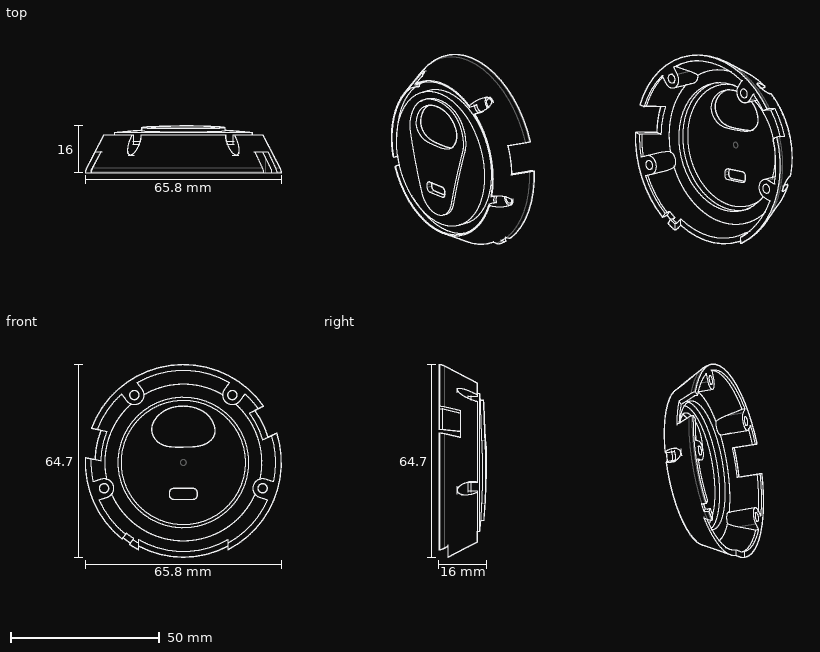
import cadquery as cq
import math


BASE_RADIUS = 32.9
LIP_HEIGHT = 0.4
TAPER_START = 1.8
TAPER_START_RADIUS = 32.45
SHOULDER_HEIGHT = 12.8
SHOULDER_RADIUS = 26.7
INNER_BASE_RADIUS = 30.9
INNER_STEP_HEIGHT = 1.05
SEAT_HEIGHT = 9.6
SEAT_RADIUS = 26.3

BOSS_ANGLES = (54.0, 126.0, 198.0, 342.0)
BOSS_CIRCLE_RADIUS = 27.95
BOSS_RADIUS = 3.2
SCREW_HOLE_RADIUS = 1.5
HEAD_RECESS_RADIUS = 2.25
HEAD_RECESS_FLOOR = 5.9

WINDOW_ANGLES = (26.3, 168.4)
WINDOW_WIDTH = 10.0
WINDOW_HEIGHT = 7.1
NOTCH_ANGLE = 234.0
NOTCH_WIDTH = 3.0
NOTCH_HEIGHT = 1.9
BOTTOM_ANGLE = 270.0
BOTTOM_WIDTH = 29.95
BOTTOM_HEIGHT = 2.95
CUT_START_RADIUS = 23.7
CUT_LENGTH = 13.15

FLANGE_THICKNESS = 1.05
CAP_RADIUS = 23.15
CAP_RIM_HEIGHT = 13.6
DOME_TOP = 14.9
DOME_THICKNESS = 1.0
CAP_BORE_RADIUS = 21.9
CAP_BORE_TOP = 11.6
DOME_INNER_RADIUS = 20.85
CENTRE_FLAT_RADIUS = 1.0

PAD_THICKNESS = 1.05
PAD_HALF_WIDTH = 13.95
PAD_SIDE_TOP = 7.45
PAD_TOP = 20.9
PAD_UPPER_SIDE = (13.6, 11.7)
PAD_SHOULDER = (10.6, 17.05)
PAD_TIP_RADIUS = 8.0
PAD_TIP_CENTRE = -11.5
PAD_SIDE_ANGLE = 16.4

EYE_HALF_WIDTH = 10.6
EYE_MIDDLE = 10.85
EYE_TOP = 18.9
EYE_BOTTOM = 5.2
EYE_UPPER_CORNER = (7.6, 16.45)
EYE_LOWER_CORNER = (8.55, 6.9)
SLOT_WIDTH = 9.2
SLOT_HEIGHT = 3.6
SLOT_CENTRE = -10.5
SLOT_CORNER_RADIUS = 1.3

FLANGE_TOP = SEAT_HEIGHT + FLANGE_THICKNESS
DOME_RISE = DOME_TOP - CAP_RIM_HEIGHT
DOME_RADIUS = (CAP_RADIUS**2 + DOME_RISE**2) / (2 * DOME_RISE)
DOME_CENTRE = DOME_TOP - DOME_RADIUS
INNER_DOME_RADIUS = DOME_RADIUS - DOME_THICKNESS
PAD_DOME_RADIUS = DOME_RADIUS + PAD_THICKNESS
PART_TOP = DOME_TOP + PAD_THICKNESS


def face_plane(height):
    """Sketch plane at the given height, with X and Z as its two directions."""
    return cq.Workplane("XZ", origin=(0, height, 0))


def prism(sketch, depth):
    """Extrude a face_plane sketch toward +Y."""
    return sketch.extrude(-depth)


def turn(profile):
    """Revolve a closed (radius, height) profile about the Y axis."""
    return profile.revolve(360, (0, 0, 0), (0, 1, 0))


def dome_point(sphere_radius, radius):
    """(radius, height) of a point on a sphere about the common dome centre."""
    return radius, DOME_CENTRE + math.sqrt(sphere_radius**2 - radius**2)


def boss_centres():
    return [
        (
            BOSS_CIRCLE_RADIUS * math.cos(math.radians(angle)),
            BOSS_CIRCLE_RADIUS * math.sin(math.radians(angle)),
        )
        for angle in BOSS_ANGLES
    ]


def radial_block(angle, start_radius, length, width, height):
    """Block standing on the open face that runs outward at an angle from +X toward +Z."""
    sketch = face_plane(0).center(start_radius + length / 2, 0).rect(length, width)
    return prism(sketch, height).rotate((0, 0, 0), (0, 1, 0), -angle)


def head_recesses():
    """Cylinders that clear the screw heads, open toward +Y."""
    sketch = face_plane(HEAD_RECESS_FLOOR).pushPoints(boss_centres()).circle(HEAD_RECESS_RADIUS)
    return prism(sketch, PART_TOP - HEAD_RECESS_FLOOR)


def housing_envelope():
    """Outer shape of the housing as a full solid."""
    profile = (
        cq.Workplane("XY")
        .moveTo(0, SHOULDER_HEIGHT)
        .lineTo(SHOULDER_RADIUS, SHOULDER_HEIGHT)
        .lineTo(TAPER_START_RADIUS, TAPER_START)
        .tangentArcPoint((BASE_RADIUS, LIP_HEIGHT), relative=False)
        .lineTo(BASE_RADIUS, 0)
        .lineTo(0, 0)
        .close()
    )
    return turn(profile)


def housing_cavity():
    """Tapered inside of the housing, ending in the straight bore that holds the flange."""
    profile = cq.Workplane("XY").polyline(
        [
            (0, 0),
            (INNER_BASE_RADIUS, 0),
            (INNER_BASE_RADIUS, INNER_STEP_HEIGHT),
            (SEAT_RADIUS, SEAT_HEIGHT),
            (SEAT_RADIUS, SHOULDER_HEIGHT),
            (0, SHOULDER_HEIGHT),
        ]
    ).close()
    return turn(profile)


def screw_bosses(envelope):
    """Round posts joined to the wall, trimmed to the outside of the housing."""
    bosses = prism(face_plane(0).pushPoints(boss_centres()).circle(BOSS_RADIUS), SEAT_HEIGHT)
    for angle in BOSS_ANGLES:
        bosses = bosses.union(
            radial_block(angle, BOSS_CIRCLE_RADIUS, CUT_LENGTH, 2 * BOSS_RADIUS, SEAT_HEIGHT)
        )
    return bosses.intersect(envelope)


def make_housing():
    envelope = housing_envelope()
    body = envelope.cut(housing_cavity()).union(screw_bosses(envelope))
    screw_holes = face_plane(0).pushPoints(boss_centres()).circle(SCREW_HOLE_RADIUS)
    body = body.cut(prism(screw_holes, SEAT_HEIGHT)).cut(head_recesses())
    wall_cuts = [(angle, WINDOW_WIDTH, WINDOW_HEIGHT) for angle in WINDOW_ANGLES]
    wall_cuts.append((NOTCH_ANGLE, NOTCH_WIDTH, NOTCH_HEIGHT))
    wall_cuts.append((BOTTOM_ANGLE, BOTTOM_WIDTH, BOTTOM_HEIGHT))
    for angle, width, height in wall_cuts:
        body = body.cut(radial_block(angle, CUT_START_RADIUS, CUT_LENGTH, width, height))
    return body


def cap_shell():
    """Flange, short cylinder and thin dome in one revolved wall."""
    profile = (
        cq.Workplane("XY")
        .moveTo(CAP_BORE_RADIUS, SEAT_HEIGHT)
        .lineTo(SEAT_RADIUS, SEAT_HEIGHT)
        .lineTo(SEAT_RADIUS, FLANGE_TOP)
        .lineTo(CAP_RADIUS, FLANGE_TOP)
        .lineTo(CAP_RADIUS, CAP_RIM_HEIGHT)
        .threePointArc(dome_point(DOME_RADIUS, CAP_RADIUS / 2), (0, DOME_TOP))
        .lineTo(0, dome_point(INNER_DOME_RADIUS, CENTRE_FLAT_RADIUS)[1])
        .lineTo(*dome_point(INNER_DOME_RADIUS, CENTRE_FLAT_RADIUS))
        .threePointArc(
            dome_point(INNER_DOME_RADIUS, DOME_INNER_RADIUS / 2),
            dome_point(INNER_DOME_RADIUS, DOME_INNER_RADIUS),
        )
        .lineTo(CAP_BORE_RADIUS, CAP_BORE_TOP)
        .close()
    )
    return turn(profile)


def teardrop_pad():
    """Teardrop with upright sides, bounded below and above by dome surfaces."""
    side = math.radians(PAD_SIDE_ANGLE)
    tip_x = PAD_TIP_RADIUS * math.cos(side)
    tip_z = PAD_TIP_CENTRE - PAD_TIP_RADIUS * math.sin(side)
    upper_side_x, upper_side_z = PAD_UPPER_SIDE
    shoulder_x, shoulder_z = PAD_SHOULDER
    outline = (
        face_plane(CAP_RIM_HEIGHT)
        .moveTo(-tip_x, tip_z)
        .threePointArc((0, PAD_TIP_CENTRE - PAD_TIP_RADIUS), (tip_x, tip_z))
        .lineTo(PAD_HALF_WIDTH, PAD_SIDE_TOP)
        .spline(
            [
                (upper_side_x, upper_side_z),
                (shoulder_x, shoulder_z),
                (0, PAD_TOP),
                (-shoulder_x, shoulder_z),
                (-upper_side_x, upper_side_z),
                (-PAD_HALF_WIDTH, PAD_SIDE_TOP),
            ],
            includeCurrent=True,
        )
        .close()
    )
    column = prism(outline, PART_TOP - CAP_RIM_HEIGHT)
    cap_profile = (
        cq.Workplane("XY")
        .moveTo(0, CAP_RIM_HEIGHT)
        .lineTo(CAP_RADIUS, CAP_RIM_HEIGHT)
        .lineTo(*dome_point(PAD_DOME_RADIUS, CAP_RADIUS))
        .threePointArc(dome_point(PAD_DOME_RADIUS, CAP_RADIUS / 2), (0, PART_TOP))
        .close()
    )
    hollow_profile = (
        cq.Workplane("XY")
        .moveTo(0, CAP_RIM_HEIGHT)
        .lineTo(CAP_RADIUS, CAP_RIM_HEIGHT)
        .threePointArc(dome_point(DOME_RADIUS, CAP_RADIUS / 2), (0, DOME_TOP))
        .close()
    )
    return column.intersect(turn(cap_profile)).cut(turn(hollow_profile))


def eye_opening():
    """Wide rounded opening, taller above its widest line than below it."""
    upper_x, upper_z = EYE_UPPER_CORNER
    lower_x, lower_z = EYE_LOWER_CORNER
    outline = face_plane(SEAT_HEIGHT).spline(
        [
            (EYE_HALF_WIDTH, EYE_MIDDLE),
            (upper_x, upper_z),
            (0, EYE_TOP),
            (-upper_x, upper_z),
            (-EYE_HALF_WIDTH, EYE_MIDDLE),
            (-lower_x, lower_z),
            (0, EYE_BOTTOM),
            (lower_x, lower_z),
        ],
        periodic=True,
    )
    return prism(outline.close(), PART_TOP - SEAT_HEIGHT)


def slot_opening():
    outline = face_plane(SEAT_HEIGHT).center(0, SLOT_CENTRE).rect(SLOT_WIDTH, SLOT_HEIGHT)
    return prism(outline, PART_TOP - SEAT_HEIGHT).edges("|Y").fillet(SLOT_CORNER_RADIUS)


def make_cover():
    body = cap_shell().union(teardrop_pad())
    return body.cut(eye_opening()).cut(slot_opening()).cut(head_recesses())


housing = make_housing()
cover = make_cover()

result = cq.Compound.makeCompound([housing.solids().val(), cover.solids().val()])